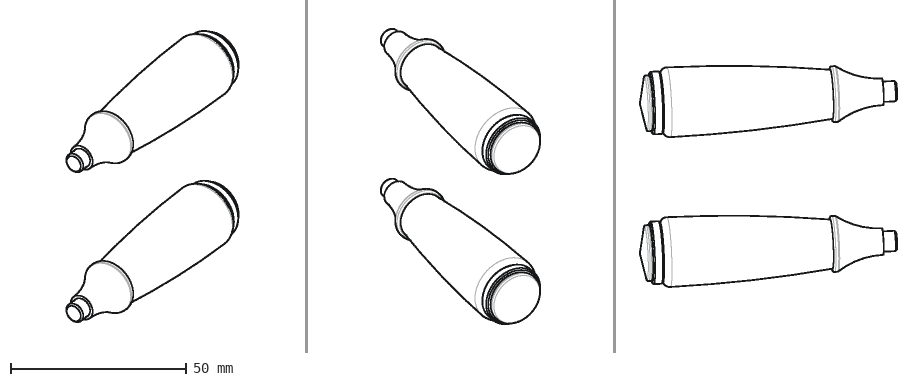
import cadquery as cq


handle_length = 73.7
handle_spacing = 50.0
handle_count = 2

pin_radius = 2.95
pin_length = 4.0
pin_chamfer = 0.5
neck_radius = 3.8
flange_radius = 8.0
flange_back = 18.7
flange_width = 1.5
rim_round = 0.5

grip_radius = 10.0
grip_front_radius = 7.1
grip_round = 2.0

collar_radius = 9.0
collar_width = 3.1
collar_chamfer = 0.45
cap_radius = flange_radius
cap_rim_width = 1.4
cap_cone_height = 1.8

cap_front = handle_length - cap_cone_height - cap_rim_width
collar_front = cap_front - collar_width


def tangent_arc_radius(length, drop):
    """Radius of an arc parallel to the axis at one end and shifted by drop at the other."""
    return (length**2 + drop**2) / (2 * drop)


def revolve_about_y(profile):
    """Close a half profile drawn as (radius, axial position) and spin it around Y."""
    return profile.close().revolve(360, (0, 0, 0), (0, 1, 0))


def make_spindle():
    flange_front = flange_back - flange_width
    flare = tangent_arc_radius(flange_front - pin_length, flange_radius - neck_radius)
    profile = (
        cq.Workplane("XY")
        .lineTo(pin_radius - pin_chamfer, 0)
        .lineTo(pin_radius, pin_chamfer)
        .lineTo(pin_radius, pin_length)
        .lineTo(neck_radius, pin_length)
        .radiusArc((flange_radius, flange_front), flare)
        .lineTo(flange_radius, flange_back)
        .lineTo(0, flange_back)
    )
    flange_rims = cq.selectors.BoxSelector(
        (-2 * flange_radius, flange_front - rim_round, -2 * flange_radius),
        (2 * flange_radius, flange_back + rim_round, 2 * flange_radius),
    )
    return revolve_about_y(profile).edges(flange_rims).fillet(rim_round)


def make_grip():
    barrel_end = collar_front - grip_round
    bulge = tangent_arc_radius(barrel_end - flange_back, grip_radius - grip_front_radius)
    profile = (
        cq.Workplane("XY")
        .moveTo(0, flange_back)
        .lineTo(grip_front_radius, flange_back)
        .radiusArc((grip_radius, barrel_end), -bulge)
        .radiusArc((grip_radius - grip_round, collar_front), -grip_round)
        .lineTo(0, collar_front)
    )
    return revolve_about_y(profile)


def make_collar():
    profile = (
        cq.Workplane("XY")
        .moveTo(0, collar_front)
        .lineTo(collar_radius, collar_front)
        .lineTo(collar_radius, cap_front)
        .lineTo(0, cap_front)
    )
    return revolve_about_y(profile).edges("%CIRCLE").chamfer(collar_chamfer)


def make_cap():
    profile = (
        cq.Workplane("XY")
        .moveTo(0, cap_front)
        .lineTo(cap_radius, cap_front)
        .lineTo(cap_radius, cap_front + cap_rim_width)
        .lineTo(0, handle_length)
    )
    return revolve_about_y(profile).edges("%CIRCLE").fillet(rim_round)


bodies = []
for handle in range(handle_count):
    height = handle * handle_spacing
    for make_body in (make_spindle, make_grip, make_collar, make_cap):
        bodies.append(make_body().translate((0, 0, height)).val())

result = cq.Compound.makeCompound(bodies)